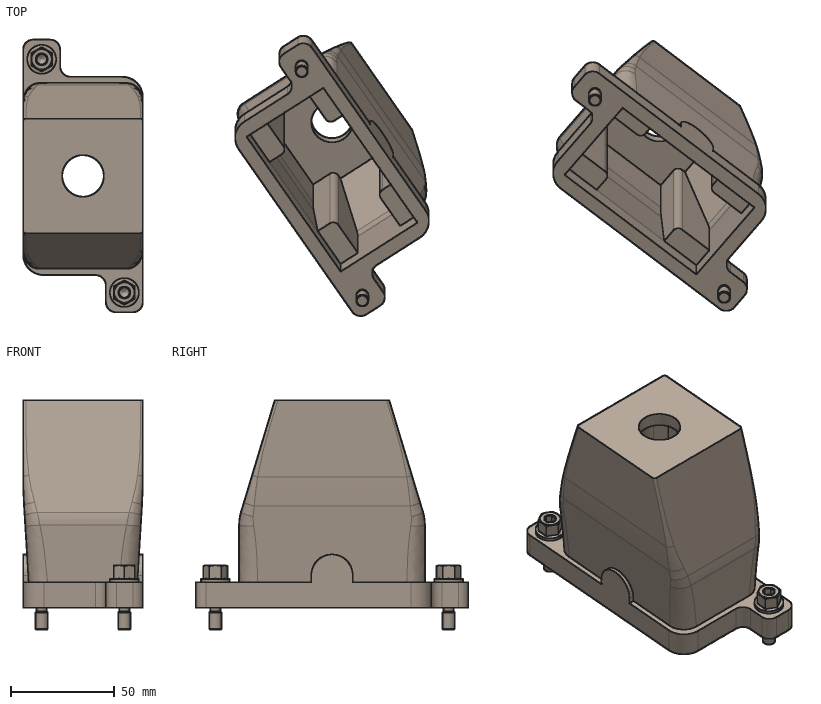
import cadquery as cq
import math


half_width = 29.0
plate_half_length = 48.0
plate_thickness = 12.5
ear_end = 66.0
ear_width = 18.0
plate_corner_radius = 10.0
ear_corner_radius = 5.0

hood_height = 88.0
side_draft = 3.5
side_bend_height = 43.9
side_bend_radius = 230.0
hood_half_length = 45.0
hood_top_half_length = 27.7
end_bend_height = 30.8
end_bend_radius = 21.0
corner_radius_foot = 9.0
corner_radius_below_bends = 7.0
corner_radius_above_bends = 2.8
corner_radius_top = 1.3

pad_radius = 10.0
pad_center_height = 3.4

wall = 4.0
roof = 7.0
cable_hole_diameter = 20.0
pillar_inner_y = 21.0
pillar_inner_x = 12.3
pillar_edge_radius = 3.0

screw_x = 20.0
screw_y = 56.4
flange_diameter = 14.0
flange_rim_height = 1.5
flange_height = 1.75
hex_across_flats = 10.2
head_height = 8.2
head_face_diameter = 9.8
head_chamfer_drop = 0.5
socket_across_flats = 5.0
socket_depth = 4.0
socket_mouth_diameter = 5.8
socket_tip_angle = 118.0
neck_diameter = 5.0
neck_length = 1.7
thread_diameter = 6.0
screw_length = 10.5
thread_lead_in = 0.6
thread_tip_chamfer = 0.4

CORNER_SIGNS = ((1, 1), (1, -1), (-1, 1), (-1, -1))

hood_top = plate_thickness + hood_height
head_top = plate_thickness + head_height
side_bend_z = plate_thickness + side_bend_height
end_bend_z = plate_thickness + end_bend_height
side_slope = math.tan(math.radians(side_draft))
foot_half_width = half_width - side_bend_height * side_slope


def plate():
    slab = (
        cq.Workplane("XY")
        .rect(2 * half_width, 2 * plate_half_length)
        .extrude(plate_thickness)
    )
    ear_length = ear_end - plate_half_length
    ear_center_x = half_width - ear_width / 2
    for side in (1, -1):
        ear = (
            cq.Workplane("XY")
            .center(side * ear_center_x, -side * (plate_half_length + ear_length / 2))
            .rect(ear_width, ear_length)
            .extrude(plate_thickness)
        )
        slab = slab.union(ear)
    slab = slab.clean()

    inner_x = half_width - ear_width
    main_corners = [(-half_width, -plate_half_length)]
    ear_corners = [
        (half_width, -ear_end),
        (inner_x, -ear_end),
        (inner_x, -plate_half_length),
    ]
    for corners, radius in ((main_corners, plate_corner_radius), (ear_corners, ear_corner_radius)):
        for x, y in corners:
            for side in (1, -1):
                point = (side * x, side * y, plate_thickness / 2)
                slab = slab.edges(cq.selectors.NearestToPointSelector(point)).fillet(radius)
    return slab


def bent_prism(plane, foot_half, bend_half, top_half, bend_z, bend_radius):
    """Symmetric section pulled through the hood; each side is two lines joined by a tangent arc."""
    lower_lean = math.atan2(bend_half - foot_half, bend_z - plate_thickness)
    upper_lean = math.atan2(top_half - bend_half, hood_top - bend_z)
    tangent_length = bend_radius * math.tan((lower_lean - upper_lean) / 2)
    arc_start = (
        bend_half - tangent_length * math.sin(lower_lean),
        bend_z - tangent_length * math.cos(lower_lean),
    )
    arc_end = (
        bend_half + tangent_length * math.sin(upper_lean),
        bend_z + tangent_length * math.cos(upper_lean),
    )
    half_section = (
        cq.Workplane(plane)
        .moveTo(0, plate_thickness)
        .lineTo(foot_half, plate_thickness)
        .lineTo(*arc_start)
        .tangentArcPoint(arc_end, relative=False)
        .lineTo(top_half, hood_top)
        .lineTo(0, hood_top)
    )
    return half_section.mirrorY().extrude(ear_end, both=True)


def hood_block(inset):
    """Hood shape with sharp corners, moved inwards by inset on its four sides."""
    across = bent_prism(
        "XZ",
        foot_half_width - inset,
        half_width - inset,
        half_width - inset,
        side_bend_z,
        side_bend_radius,
    )
    along = bent_prism(
        "YZ",
        hood_half_length - inset,
        hood_half_length - inset,
        hood_top_half_length - inset,
        end_bend_z,
        end_bend_radius,
    )
    return across.intersect(along)


def hood():
    """Hood with corners whose radius shrinks smoothly from foot to top."""
    block = hood_block(0).solids()
    builder = cq.occ_impl.shapes.BRepFilletAPI_MakeFillet(block.val().wrapped)
    for x_side, y_side in CORNER_SIGNS:
        foot_corner = (
            x_side * foot_half_width,
            y_side * hood_half_length,
            plate_thickness + end_bend_height / 2,
        )
        foot_edge = block.edges(cq.selectors.NearestToPointSelector(foot_corner)).val()
        builder.Add(foot_edge.wrapped)

    for contour in range(1, builder.NbContours() + 1):
        edges = [cq.Edge(builder.Edge(contour, i + 1)) for i in range(builder.NbEdges(contour))]
        ends = sorted((v for edge in edges for v in edge.Vertices()), key=lambda v: v.Z)
        radius_at = (
            (ends[0], corner_radius_foot),
            (ends[1], corner_radius_below_bends),
            (ends[-2], corner_radius_above_bends),
            (ends[-1], corner_radius_top),
        )
        for vertex, radius in radius_at:
            builder.SetRadius(radius, contour, vertex.wrapped)
    return cq.Workplane(cq.Shape.cast(builder.Shape()))


def side_pads():
    pad_z = plate_thickness + pad_center_height
    disc = cq.Workplane("YZ").center(0, pad_z).circle(pad_radius).extrude(half_width, both=True)
    neck = (
        cq.Workplane("XY")
        .workplane(offset=plate_thickness)
        .rect(2 * half_width, 2 * pad_radius)
        .extrude(pad_center_height)
    )
    above_plate = (
        cq.Workplane("XY")
        .rect(2 * half_width, 2 * pad_radius)
        .extrude(pad_z + pad_radius)
    )
    return disc.union(neck).intersect(above_plate)


def cavity():
    """Space inside the hood, open at the underside, with a pillar left in each corner."""
    room = hood_block(wall)
    below_roof = (
        cq.Workplane("XY")
        .rect(2 * half_width, 2 * hood_half_length)
        .extrude(hood_top - roof)
    )
    room = room.intersect(below_roof)
    pillar_reach_x = half_width - pillar_inner_x
    pillar_reach_y = hood_half_length - pillar_inner_y
    for x_side, y_side in CORNER_SIGNS:
        center_x = x_side * (pillar_inner_x + pillar_reach_x / 2)
        center_y = y_side * (pillar_inner_y + pillar_reach_y / 2)
        inner_edge = (x_side * pillar_inner_x, y_side * pillar_inner_y, hood_top / 2)
        pillar = (
            cq.Workplane("XY")
            .workplane(offset=plate_thickness)
            .center(center_x, center_y)
            .rect(pillar_reach_x, pillar_reach_y)
            .extrude(hood_height)
            .edges(cq.selectors.NearestToPointSelector(inner_edge))
            .fillet(pillar_edge_radius)
        )
        room = room.cut(pillar)
    opening = (
        cq.Workplane("XY")
        .rect(2 * (foot_half_width - wall), 2 * (hood_half_length - wall))
        .extrude(plate_thickness)
    )
    return room.union(opening)


def cable_hole():
    return (
        cq.Workplane("XY")
        .workplane(offset=hood_top - 2 * roof)
        .circle(cable_hole_diameter / 2)
        .extrude(2 * roof)
    )


def revolved(points):
    """Solid of revolution about Z from (radius, z) points."""
    return cq.Workplane("XZ").polyline(points).close().revolve(360, (0, 0, 0), (0, 1, 0))


def hexagon(across_flats, bottom_z, height):
    """Upright hexagonal prism on the Z axis with two flats facing along X."""
    across_corners = across_flats / math.cos(math.radians(30))
    return (
        cq.Workplane("XY")
        .workplane(offset=bottom_z)
        .transformed(rotate=(0, 0, 90))
        .polygon(6, across_corners)
        .extrude(height)
    )


def screw_head():
    corner_radius = hex_across_flats / math.cos(math.radians(30)) / 2
    chamfer_envelope = revolved([
        (0, plate_thickness),
        (corner_radius, plate_thickness),
        (corner_radius, head_top - head_chamfer_drop),
        (head_face_diameter / 2, head_top),
        (0, head_top),
    ])
    flange_radius = flange_diameter / 2
    flange_inner_radius = hex_across_flats / 2
    flange = revolved([
        (0, plate_thickness),
        (flange_radius, plate_thickness),
        (flange_radius, plate_thickness + flange_rim_height),
        (flange_inner_radius, plate_thickness + flange_height),
        (0, plate_thickness + flange_height),
    ])
    hexagon_block = hexagon(hex_across_flats, plate_thickness, head_height)
    return hexagon_block.intersect(chamfer_envelope).union(flange)


def screw_socket():
    """Hexagon socket with a 45 degree countersunk mouth and a drill-point floor."""
    floor_z = head_top - socket_depth
    flat_radius = socket_across_flats / 2
    mouth_radius = socket_mouth_diameter / 2
    tip_depth = flat_radius / math.tan(math.radians(socket_tip_angle / 2))
    countersink_and_tip = revolved([
        (0, head_top),
        (mouth_radius, head_top),
        (flat_radius, head_top - (mouth_radius - flat_radius)),
        (flat_radius, floor_z),
        (0, floor_z - tip_depth),
    ])
    return hexagon(socket_across_flats, floor_z, socket_depth).union(countersink_and_tip)


def screw_shank():
    neck_radius = neck_diameter / 2
    thread_radius = thread_diameter / 2
    return revolved([
        (0, plate_thickness),
        (neck_radius, plate_thickness),
        (neck_radius, -neck_length),
        (thread_radius, -neck_length - thread_lead_in),
        (thread_radius, -screw_length + thread_tip_chamfer),
        (thread_radius - thread_tip_chamfer, -screw_length),
        (0, -screw_length),
    ])


def screw():
    """Flanged hexagon screw on the Z axis, reaching through the plate."""
    return screw_head().union(screw_shank()).cut(screw_socket())


def build():
    body = plate().union(hood()).union(side_pads()).cut(cavity()).cut(cable_hole())
    for side in (1, -1):
        body = body.union(screw().translate((side * screw_x, -side * screw_y, 0)))
    return body


result = build()